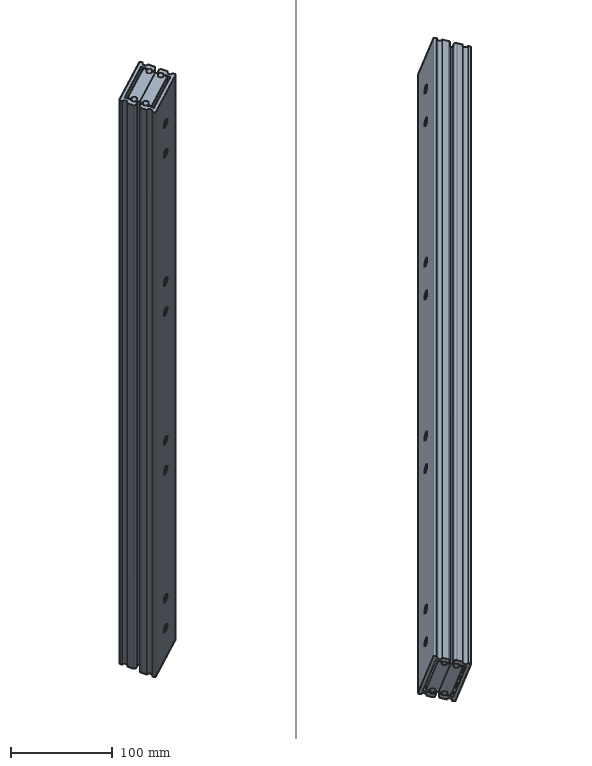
import cadquery as cq

length = 950.0
width = 39.0
height = 51.0
end_offset = 2.0

web = 4.0
tip_gap = 4.0
flange_inside = 20.4
web_corner_radius = 1.4
tip_radius = 2.4
notch_width = 6.0
notch_depth = 2.4
notch_x = 13.0

inner_width = 12.8
inner_half_height = 19.5

rod_radius = 3.0
rod_x = 6.2
rod_y = 18.5

hole_diameter = 8.0
hole_sink_diameter = 9.5
upper_mounting_holes = [50.0, 316.0]
access_spacing = 50.0
upper_access_holes = [depth + access_spacing for depth in upper_mounting_holes]
mounting_holes = upper_mounting_holes + [length - depth for depth in upper_mounting_holes]
access_holes = upper_access_holes + [length - depth for depth in upper_access_holes]

fixing_z = 8.1
screw_head_diameter = 11.0
screw_diameter = 3.0
pin_diameter = 6.0
pin_spacing = 20.0

half_width = width / 2
half_height = height / 2


def bar(section, bottom):
    """Extrude a closed section from the given bottom level to the top end."""
    return section.extrude(length - bottom).translate((0, 0, bottom))


def cross_holes(depths):
    """Cylinders along X through the whole width, on the middle plane."""
    points = [(0, length - depth) for depth in depths]
    return cq.Workplane("YZ").pushPoints(points).circle(hole_diameter / 2).extrude(half_width, both=True)


def cone(side, z, outer_diameter, inner_diameter, depth):
    """Cone that narrows from a rail's outer face inwards along X."""
    solid = cq.Solid.makeCone(
        outer_diameter / 2,
        inner_diameter / 2,
        depth,
        pnt=cq.Vector(side * half_width, 0, z),
        dir=cq.Vector(-side, 0, 0),
    )
    return cq.Workplane(solid)


def rod_centres(side):
    return [(side * rod_x, rod_y), (side * rod_x, -rod_y)]


def rod_seats(side):
    """Round space taken by the two rods on one side."""
    return cq.Workplane("XY").pushPoints(rod_centres(side)).circle(rod_radius).extrude(length)


def notches(side):
    """Curved lengthwise notches in the outer faces of the two flanges."""
    inner_edge = side * (notch_x - notch_width / 2)
    outer_edge = side * (notch_x + notch_width / 2)
    notch = (
        cq.Workplane("XY")
        .moveTo(inner_edge, half_height)
        .threePointArc((side * notch_x, half_height - notch_depth), (outer_edge, half_height))
        .close()
        .extrude(length)
    )
    return notch.union(notch.mirror("XZ"))


def outer_rail(side, bottom):
    tip = side * tip_gap / 2
    back = side * half_width
    web_inside = side * (half_width - web)
    section = cq.Workplane("XY").polyline([
        (tip, half_height),
        (back, half_height),
        (back, -half_height),
        (tip, -half_height),
        (tip, -flange_inside),
        (web_inside, -flange_inside),
        (web_inside, flange_inside),
        (tip, flange_inside),
    ]).close()
    rail = bar(section, bottom)
    back_side, tip_side = (">X", "<X") if side > 0 else ("<X", ">X")
    rail = rail.faces(back_side).edges("|Z").fillet(web_corner_radius)
    rail = rail.faces(tip_side).edges("|Z").edges(">Y or <Y").fillet(tip_radius)
    rail = rail.cut(notches(side)).cut(rod_seats(side))
    hole_depths = access_holes + mounting_holes
    rail = rail.cut(cross_holes(hole_depths))
    sink_depth = (hole_sink_diameter - hole_diameter) / 2
    for depth in hole_depths:
        rail = rail.cut(cone(side, length - depth, hole_sink_diameter, hole_diameter, sink_depth))
    return rail


def fixing_holes():
    """Conical screw hole between two pin holes, through the left web."""
    screw_hole = cone(-1, fixing_z, screw_head_diameter, screw_diameter, web)
    face = cq.Workplane("YZ", origin=(-half_width, 0, fixing_z))
    pin_points = [(-pin_spacing / 2, 0), (pin_spacing / 2, 0)]
    return face.pushPoints(pin_points).circle(pin_diameter / 2).extrude(web).union(screw_hole)


def inner_rail(side):
    section = cq.Workplane("XY").center(side * inner_width / 2, 0).rect(inner_width, 2 * inner_half_height)
    rail = bar(section, end_offset).cut(rod_seats(side))
    return rail.cut(cross_holes(access_holes))


def rod(x, y):
    return bar(cq.Workplane("XY").center(x, y).circle(rod_radius), end_offset)


left_outer_rail = outer_rail(-1, end_offset).cut(fixing_holes())
right_outer_rail = outer_rail(1, 0)
inner_rails = [inner_rail(side) for side in (-1, 1)]
rods = [rod(x, y) for side in (-1, 1) for x, y in rod_centres(side)]

bodies = [left_outer_rail, right_outer_rail, *inner_rails, *rods]
result = cq.Compound.makeCompound([body.solids().val() for body in bodies])